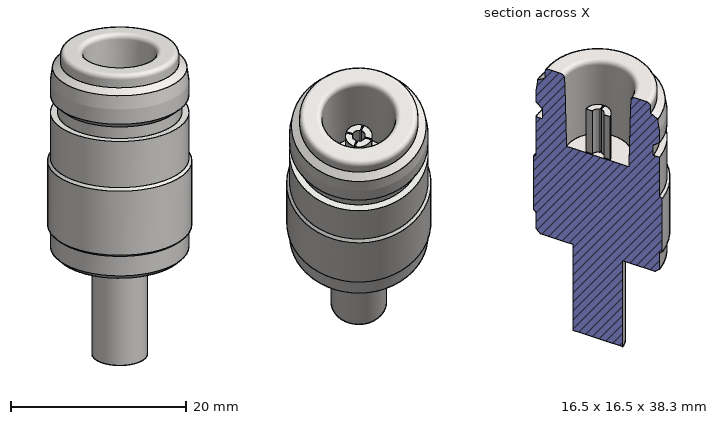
import cadquery as cq

total_height = 38.3
body_bottom = 13.0
band_bottom = 16.0
band_top = 24.7
neck_bottom = 30.53
neck_top = 31.98
collar_bottom = 32.7
collar_taper_start = 34.55
collar_taper_end = 36.2
nose_bottom = 36.75

stem_radius = 3.198
body_radius = 7.93
band_radius = 8.255
neck_radius = 7.12
collar_top_radius = 7.7
nose_radius = 6.78

body_chamfer = 0.57
band_chamfer = 0.3
nose_fillet = 0.57
mouth_fillet = 0.6

mouth_radius = 4.2
floor_radius = 4.0
socket_floor = 27.58

contact_radius = 1.55
contact_hole_radius = 0.73
contact_top = 34.1
contact_slot_width = 0.15


def make_shell():
    """Turned outside of the connector, from the stem up to the nose."""
    profile = [
        (0, 0),
        (stem_radius, 0),
        (stem_radius, body_bottom),
        (body_radius - body_chamfer, body_bottom),
        (body_radius, body_bottom + body_chamfer),
        (body_radius, band_bottom),
        (band_radius, band_bottom + band_chamfer),
        (band_radius, band_top - band_chamfer),
        (body_radius, band_top),
        (body_radius, neck_bottom),
        (neck_radius, neck_bottom),
        (neck_radius, neck_top),
        (body_radius, collar_bottom),
        (body_radius, collar_taper_start),
        (collar_top_radius, collar_taper_end),
        (nose_radius, nose_bottom),
        (nose_radius, total_height),
        (0, total_height),
    ]
    shell = cq.Workplane("XZ").polyline(profile).close().revolve(360, (0, 0), (0, 1))
    return shell.faces(">Z").edges().fillet(nose_fillet)


def make_socket():
    """Cavity removed from the nose, flaring out at its rounded mouth."""
    mouth_bottom = total_height - mouth_fillet
    return (
        cq.Workplane("XZ")
        .moveTo(0, socket_floor)
        .lineTo(floor_radius, socket_floor)
        .lineTo(mouth_radius, mouth_bottom)
        .radiusArc((mouth_radius + mouth_fillet, total_height), mouth_fillet)
        .lineTo(0, total_height)
        .close()
        .revolve(360, (0, 0), (0, 1))
    )


def make_contact():
    """Hollow centre contact, split into four fingers by crossed slots."""
    height = contact_top - socket_floor
    base = cq.Workplane("XY").workplane(offset=socket_floor)
    contact = base.circle(contact_radius).circle(contact_hole_radius).extrude(height)
    for angle in (0, 90):
        slot = base.rect(2 * contact_radius, contact_slot_width).extrude(height)
        contact = contact.cut(slot.rotate((0, 0, 0), (0, 0, 1), angle))
    return contact


result = make_shell().cut(make_socket()).union(make_contact())